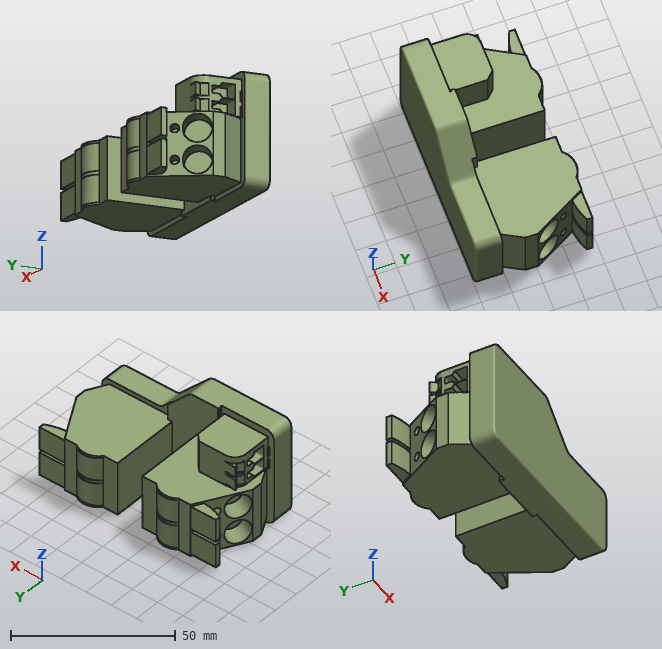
import cadquery as cq
import math


COVER_WIDTH = 68.0
COVER_HALF = COVER_WIDTH / 2
COVER_HEIGHT = 36.55
COVER_DEPTH = 8.8
LOW_HEIGHT = 23.6
SLOPE_START = -2.3
SLOPE_END = SLOPE_START + COVER_HEIGHT - LOW_HEIGHT
CORNER_RADIUS = 3.0
FRONT_FILLET = 0.7

PAD_LEFT = -13.5
PAD_RIGHT = 6.6
PAD_BACK = 10.45
PAD_CHAMFER = 0.35
PAD_GROOVE = 0.35

TERMINAL_OUTER = -34.9
TERMINAL_INNER = -4.9
TERMINAL_BOTTOM = 1.6
TERMINAL_TOP = 21.8
TERMINAL_FOOT = -31.05
SIDE_LOW = 15.8
SIDE_HIGH = 20.0
INNER_BACK = 36.5
OUTER_BACK = 37.65
SHOULDER_X = -24.9
DOME_LEFT = -20.15
DOME_RIGHT = -10.5
DOME_MIDDLE = -15.8
DOME_BACK = 39.05

POLE_LEVELS = (6.7, 16.7)
WIRE_DIAMETER = 9.0
WIRE_DEPTH = 7.25
WIRE_Y = 24.1
PROBE_DIAMETER = 2.7
PROBE_DEPTH = 5.6
PROBE_Y = 30.2

LEVER_HEIGHT = 8.8
LEVER_BACK = 37.6
LEVER_TIP_FRONT = 35.7
LEVER_FRONT = 33.7
LEVER_BEND_X = -31.1
LEVER_BEND_Y = 34.4
LEVER_ROOT_X = -26.5
LEVER_DOME_BACK = 39.3

CONNECTOR_LEFT = -31.8
CONNECTOR_RIGHT = -14.4
CONNECTOR_BACK = 23.9
CONNECTOR_BOTTOM = 22.1
CONNECTOR_TOP = 34.0
CONNECTOR_RADIUS = 4.45
CONNECTOR_CHAMFER = 2.6

SMALL_POLE_LEVELS = (24.8, 29.8)
BUTTON_HEIGHT = 4.0
BUTTON_DROP = 0.3
TAB_HEIGHT = 3.2
TAB_DROP = 1.25
TAB_REACH = 0.4
TAB_BACK = 9.35
ENTRY_DEPTH = 5.6
ENTRY_FRONT = 10.95
ENTRY_NECK = 15.3
ENTRY_THROAT = 16.25
ENTRY_BACK = 18.8
ENTRY_WIDE = 4.7
ENTRY_NARROW = 2.45
ENTRY_FILLET = 0.4


def upright_prism(outline, bottom, height):
    """Extrude a closed outline, drawn in the XY plane, upward from a given level."""
    return outline.extrude(height).translate((0, 0, bottom))


def make_cover():
    cover = (
        cq.Workplane("XZ")
        .moveTo(-COVER_HALF, 0)
        .lineTo(COVER_HALF, 0)
        .lineTo(COVER_HALF, LOW_HEIGHT)
        .lineTo(SLOPE_END, LOW_HEIGHT)
        .lineTo(SLOPE_START, COVER_HEIGHT)
        .lineTo(-COVER_HALF, COVER_HEIGHT)
        .close()
        .extrude(-PAD_BACK)
        .edges("|Y")
        .fillet(CORNER_RADIUS)
        .faces("<Y")
        .edges()
        .fillet(FRONT_FILLET)
    )
    groove_back = COVER_DEPTH + PAD_GROOVE
    keep = (
        cq.Workplane("XY")
        .moveTo(-COVER_HALF, 0)
        .lineTo(COVER_HALF, 0)
        .lineTo(COVER_HALF, COVER_DEPTH)
        .lineTo(PAD_RIGHT, COVER_DEPTH)
        .lineTo(PAD_RIGHT, PAD_BACK)
        .lineTo(PAD_LEFT + PAD_CHAMFER, PAD_BACK)
        .lineTo(PAD_LEFT, PAD_BACK - PAD_CHAMFER)
        .lineTo(PAD_LEFT, groove_back)
        .lineTo(PAD_LEFT + PAD_GROOVE, groove_back)
        .lineTo(PAD_LEFT + PAD_GROOVE, COVER_DEPTH)
        .lineTo(-COVER_HALF, COVER_DEPTH)
        .close()
    )
    return cover.intersect(upright_prism(keep, 0, COVER_HEIGHT))


def make_terminal_body():
    outline = (
        cq.Workplane("XY")
        .moveTo(TERMINAL_INNER, COVER_DEPTH)
        .lineTo(TERMINAL_INNER, INNER_BACK)
        .lineTo(DOME_RIGHT, INNER_BACK)
        .threePointArc((DOME_MIDDLE, DOME_BACK), (DOME_LEFT, OUTER_BACK))
        .lineTo(SHOULDER_X, OUTER_BACK)
        .lineTo(TERMINAL_OUTER, SIDE_HIGH)
        .lineTo(TERMINAL_OUTER, SIDE_LOW)
        .lineTo(TERMINAL_FOOT, COVER_DEPTH)
        .close()
    )
    return upright_prism(outline, TERMINAL_BOTTOM, TERMINAL_TOP - TERMINAL_BOTTOM)


def make_lever(level):
    outline = (
        cq.Workplane("XY")
        .moveTo(TERMINAL_OUTER, LEVER_BACK)
        .lineTo(DOME_LEFT, LEVER_BACK)
        .threePointArc((DOME_MIDDLE, LEVER_DOME_BACK), (DOME_RIGHT, INNER_BACK))
        .lineTo(DOME_RIGHT, LEVER_FRONT)
        .lineTo(LEVER_ROOT_X, LEVER_FRONT)
        .threePointArc((LEVER_BEND_X, LEVER_BEND_Y), (TERMINAL_OUTER, LEVER_TIP_FRONT))
        .close()
    )
    return upright_prism(outline, level - LEVER_HEIGHT / 2, LEVER_HEIGHT)


def make_slope_hole(y, level, diameter, depth):
    """A round hole sunk square into the sloping outer face of the left terminal."""
    run = SHOULDER_X - TERMINAL_OUTER
    rise = OUTER_BACK - SIDE_HIGH
    length = math.hypot(run, rise)
    inward = cq.Vector(rise / length, -run / length, 0)
    x = TERMINAL_OUTER + (y - SIDE_HIGH) * run / rise
    overshoot = diameter
    start = cq.Vector(x, y, level) - inward * overshoot
    return cq.Workplane(cq.Solid.makeCylinder(diameter / 2, depth + overshoot, start, inward))


def make_terminal():
    terminal = make_terminal_body()
    for level in POLE_LEVELS:
        terminal = terminal.union(make_lever(level))
    for level in POLE_LEVELS:
        terminal = terminal.cut(make_slope_hole(WIRE_Y, level, WIRE_DIAMETER, WIRE_DEPTH))
        terminal = terminal.cut(make_slope_hole(PROBE_Y, level, PROBE_DIAMETER, PROBE_DEPTH))
    return terminal


def make_connector_body():
    outline = (
        cq.Workplane("XY")
        .moveTo(CONNECTOR_LEFT, COVER_DEPTH)
        .lineTo(CONNECTOR_RIGHT, COVER_DEPTH)
        .lineTo(CONNECTOR_RIGHT, CONNECTOR_BACK - CONNECTOR_CHAMFER)
        .lineTo(CONNECTOR_RIGHT - CONNECTOR_CHAMFER, CONNECTOR_BACK)
        .lineTo(CONNECTOR_LEFT + CONNECTOR_RADIUS, CONNECTOR_BACK)
        .radiusArc((CONNECTOR_LEFT, CONNECTOR_BACK - CONNECTOR_RADIUS), -CONNECTOR_RADIUS)
        .close()
    )
    return upright_prism(outline, CONNECTOR_BOTTOM, CONNECTOR_TOP - CONNECTOR_BOTTOM)


BUTTON_TIP = (-31.6, 24.35)
BUTTON_BULGE = (-31.2, 23.2)
BUTTON_NOSE = (-30.1, 22.1)
BUTTON_INSIDE = (CONNECTOR_LEFT + CONNECTOR_RADIUS, BUTTON_NOSE[1])
BUTTON_TAIL = (BUTTON_INSIDE[0], CONNECTOR_BACK)
RECESS_END = (CONNECTOR_LEFT, 19.95)
RECESS_OPENING = (CONNECTOR_LEFT, CONNECTOR_BACK)


def make_button(level):
    outline = (
        cq.Workplane("XY")
        .moveTo(*BUTTON_TIP)
        .threePointArc(BUTTON_BULGE, BUTTON_NOSE)
        .lineTo(*BUTTON_INSIDE)
        .lineTo(*BUTTON_TAIL)
        .close()
    )
    return upright_prism(outline, level - BUTTON_DROP - BUTTON_HEIGHT / 2, BUTTON_HEIGHT)


def make_button_recess(level):
    """The seat of one button plus the sloping recess in front of it."""
    corners = [BUTTON_INSIDE, BUTTON_NOSE, RECESS_END, RECESS_OPENING, BUTTON_TAIL]
    outline = cq.Workplane("XY").polyline(corners).close()
    return upright_prism(outline, level - BUTTON_DROP - BUTTON_HEIGHT / 2, BUTTON_HEIGHT)


def make_wire_entry(level):
    """A pocket that narrows toward the back, sunk into the connector's outer side."""
    half_profile = [
        (ENTRY_FRONT, ENTRY_WIDE / 2),
        (ENTRY_NECK, ENTRY_WIDE / 2),
        (ENTRY_THROAT, ENTRY_NARROW / 2),
        (ENTRY_BACK, ENTRY_NARROW / 2),
    ]
    mirrored_half = [(y, -z) for y, z in reversed(half_profile)]
    pocket = cq.Workplane("YZ").polyline(half_profile + mirrored_half).close().extrude(ENTRY_DEPTH)
    pocket = pocket.edges("|X and (<Y or >Y)").fillet(ENTRY_FILLET)
    return pocket.translate((CONNECTOR_LEFT, 0, level))


def make_tab(level):
    """A thin foot that sticks out of the connector's outer side, against the cover."""
    size_y = TAB_BACK - COVER_DEPTH
    tab = cq.Workplane("XY").box(2 * TAB_REACH, size_y, TAB_HEIGHT)
    return tab.translate((CONNECTOR_LEFT, COVER_DEPTH + size_y / 2, level - TAB_DROP))


def make_connector():
    connector = make_connector_body()
    for level in SMALL_POLE_LEVELS:
        connector = connector.cut(make_button_recess(level)).cut(make_wire_entry(level))
        connector = connector.union(make_button(level)).union(make_tab(level))
    return connector


left_terminal = make_terminal()
right_terminal = left_terminal.mirror("YZ")
result = make_cover().union(left_terminal).union(right_terminal).union(make_connector())